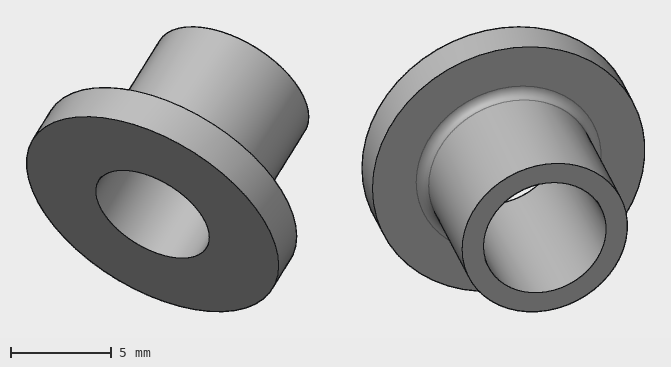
import cadquery as cq

flange_diameter = 14.0
flange_thickness = 2.0
total_length = 8.8
sleeve_diameter = 8.5
bore_diameter = 6.3
root_fillet_radius = 0.5


def cylinder_along_y(diameter, length):
    """Cylinder from Y = 0 towards +Y, centred on the Y axis."""
    return cq.Workplane("XZ").circle(diameter / 2).extrude(-length)


flange = cylinder_along_y(flange_diameter, flange_thickness)
sleeve = cylinder_along_y(sleeve_diameter, total_length)
body = flange.union(sleeve)

sleeve_root = cq.selectors.RadiusNthSelector(0)
flange_back_plane = cq.selectors.BoxSelector(
    (-flange_diameter, flange_thickness / 2, -flange_diameter),
    (flange_diameter, total_length / 2, flange_diameter),
    boundingbox=True,
)
body = body.edges(flange_back_plane).edges(sleeve_root).fillet(root_fillet_radius)

result = body.cut(cylinder_along_y(bore_diameter, total_length))